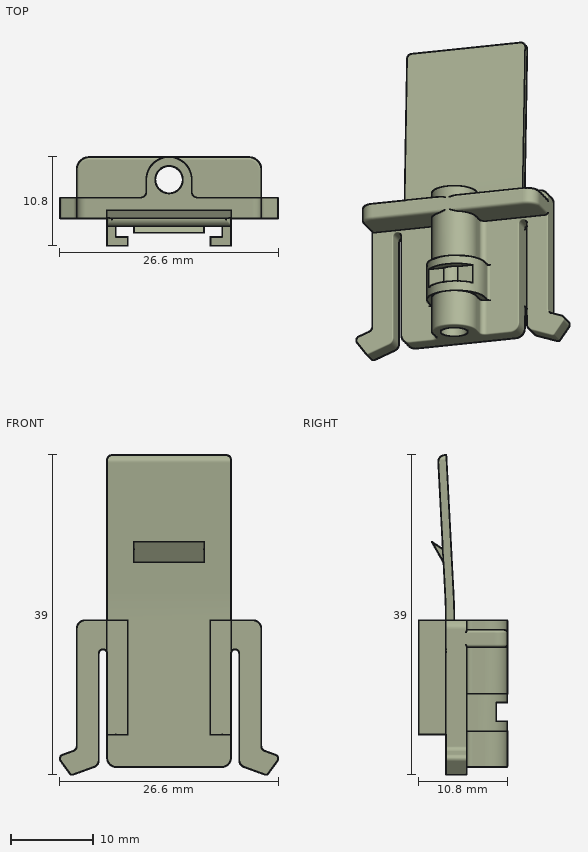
import cadquery as cq
import math

body_thickness = 2.57
body_top = 18.85
plate_half_width = 7.55
plate_bottom = 0.95
plate_corner = 1.15
edge_round = 0.15

arm_outer = 11.25
arm_inner = 8.55
arm_top_corner = 1.1
slot_top = 15.28
slot_round = (arm_inner - plate_half_width) / 2
hook_angle = math.radians(20)
elbow_outer_z = 3.08
elbow_inner_z = 1.15
elbow_outer_round = 0.6
elbow_inner_round = 0.95
hook_tip_x = 13.6
hook_heel_x = 11.93
hook_tip_round = 0.5
hook_heel_round = 0.3

back_y = 7.52
flange_bottom = 15.55
flange_top = 17.65
flange_corner = 1.55
flange_round = 0.35
barrel_radius = 2.75
barrel_root_round = 0.7
band_radius = 3.6
band_root_round = 0.3
band_bottom = 5.35
band_top = 9.85
notch_bottom = 6.55
notch_top = 8.8
notch_floor_y = 6.15
hole_diameter = 3.3

rail_bottom = 4.9
rail_height = 3.3
rail_wall = 1.1
rail_width = 2.55

tab_top = 38.98
tab_thickness = 1.05
tab_lean = math.radians(3)
tab_bend_top = 22.0
tab_front_round = 0.85
tab_corner = 0.62
tab_side_round = 0.15
barb_half_width = 4.3
barb_bottom = 25.9
barb_root_top = 27.52
barb_tip_z = 28.4
barb_tip_y = -1.7


def box(x_range, y_range, z_range):
    """Axis-aligned box between the given limits."""
    size = [high - low for low, high in (x_range, y_range, z_range)]
    corner = (x_range[0], y_range[0], z_range[0])
    return cq.Workplane("XY").box(*size, centered=False).translate(corner)


def rounded_profile(workplane, corners):
    """Closed outline through (u, v, radius) corners, each rounded by a tangent arc."""
    arcs = []
    for i, (u, v, radius) in enumerate(corners):
        corner = cq.Vector(u, v)
        to_previous = (cq.Vector(*corners[i - 1][:2]) - corner).normalized()
        to_next = (cq.Vector(*corners[(i + 1) % len(corners)][:2]) - corner).normalized()
        half_angle = to_previous.getAngle(to_next) / 2
        setback = radius / math.tan(half_angle)
        bisector = (to_previous + to_next).normalized()
        middle = corner + bisector * (radius / math.sin(half_angle) - radius)
        arcs.append((corner + to_previous * setback, middle, corner + to_next * setback))

    shortest_line = 3.9e-07
    profile = workplane.moveTo(*arcs[-1][2].toTuple()[:2])
    pen = arcs[-1][2]
    for start, middle, end in arcs:
        if (start - pen).Length > shortest_line:
            profile = profile.lineTo(start.x, start.y)
        if (end - start).Length > shortest_line:
            profile = profile.threePointArc((middle.x, middle.y), (end.x, end.y))
        pen = end
    return profile.close()


def make_body():
    slope = math.tan(hook_angle)
    hook_tip_z = elbow_outer_z - (hook_tip_x - arm_outer) * slope
    hook_heel_z = elbow_inner_z - (hook_heel_x - arm_inner) * slope
    right_half = [
        (plate_half_width, plate_bottom, plate_corner),
        (plate_half_width, slot_top, slot_round),
        (arm_inner, slot_top, slot_round),
        (arm_inner, elbow_inner_z, elbow_inner_round),
        (hook_heel_x, hook_heel_z, hook_heel_round),
        (hook_tip_x, hook_tip_z, hook_tip_round),
        (arm_outer, elbow_outer_z, elbow_outer_round),
        (arm_outer, body_top, arm_top_corner),
    ]
    left_half = [(-x, z, radius) for x, z, radius in reversed(right_half)]
    body = rounded_profile(cq.Workplane("XZ"), right_half + left_half).extrude(-body_thickness)
    return body.faces("<Y or >Y").edges().fillet(edge_round)


def make_flange():
    flange = box((-arm_outer, arm_outer), (body_thickness / 2, back_y), (flange_bottom, flange_top))
    flange = flange.edges("|Z and >Y").fillet(flange_corner)
    return flange.faces(">Z or <Z").edges("not <Y").fillet(flange_round)


def barrel_section(radius, root_round, bottom, top):
    """Upright half-round column that flares into the back of the plate through concave fillets."""
    centre_y = back_y - radius
    embedded_y = body_thickness / 2
    flank_y = body_thickness + root_round
    flare = radius + root_round
    inset = root_round * (1 - math.sqrt(0.5))
    return (
        cq.Workplane("XY", origin=(0, 0, bottom))
        .moveTo(-flare, embedded_y)
        .lineTo(-flare, body_thickness)
        .threePointArc((-radius - inset, body_thickness + inset), (-radius, flank_y))
        .lineTo(-radius, centre_y)
        .threePointArc((0, back_y), (radius, centre_y))
        .lineTo(radius, flank_y)
        .threePointArc((radius + inset, body_thickness + inset), (flare, body_thickness))
        .lineTo(flare, embedded_y)
        .close()
        .extrude(top - bottom)
    )


def make_barrel():
    barrel = barrel_section(barrel_radius, barrel_root_round, plate_bottom, body_top)
    outside_plate = cq.selectors.BoxSelector(
        (-arm_outer, body_thickness, 0), (arm_outer, 2 * back_y, tab_top)
    )
    barrel = barrel.faces("<Z or >Z").edges(outside_plate).fillet(edge_round)
    band = barrel_section(band_radius, band_root_round, band_bottom, band_top)
    return barrel.union(band)


def make_rail(side):
    """L-shaped rail with its lip turned toward the middle of the plate."""
    outer = side * plate_half_width
    wall = side * (plate_half_width - rail_wall)
    lip = side * (plate_half_width - rail_width)
    lip_back = rail_wall - rail_height
    section = [
        (outer, edge_round), (outer, -rail_height), (lip, -rail_height),
        (lip, lip_back), (wall, lip_back), (wall, edge_round),
    ]
    rail = cq.Workplane("XY", origin=(0, 0, rail_bottom)).polyline(section).close()
    return rail.extrude(body_top - rail_bottom)


def make_tab():
    """Strip that bends gently forward above the plate and then runs straight."""
    bend_radius = (tab_bend_top - body_top) / math.sin(tab_lean)

    def bend_point(angle, depth):
        radius = bend_radius + depth
        return (radius * math.cos(angle) - bend_radius, body_top + radius * math.sin(angle))

    def top_point(depth):
        y, z = bend_point(tab_lean, depth)
        return (y - (tab_top - z) * math.tan(tab_lean), tab_top)

    root_z = body_top - edge_round
    strip = (
        cq.Workplane("YZ", origin=(-plate_half_width, 0, 0))
        .moveTo(0, root_z)
        .lineTo(0, body_top)
        .threePointArc(bend_point(tab_lean / 2, 0), bend_point(tab_lean, 0))
        .lineTo(*top_point(0))
        .lineTo(*top_point(tab_thickness))
        .lineTo(*bend_point(tab_lean, tab_thickness))
        .threePointArc(bend_point(tab_lean / 2, tab_thickness), (tab_thickness, body_top))
        .lineTo(tab_thickness, root_z)
        .close()
        .extrude(2 * plate_half_width)
    )
    ends = box((-plate_half_width, plate_half_width), (-rail_height, back_y), (root_z, tab_top))
    strip = strip.edges("|X and >Z and <Y").fillet(tab_front_round)
    strip = strip.intersect(ends.edges("|Y and >Z").fillet(tab_corner))

    front_edges = cq.selectors.BoxSelector(
        (-arm_outer, -rail_height, body_top), (arm_outer, edge_round, tab_top - tab_front_round)
    )
    return strip.faces("<X or >X").edges(front_edges).fillet(tab_side_round)


def make_barb():
    """Wedge on the front of the tab, pointing up and forward."""
    middle_of_bend = (body_top + tab_bend_top) / 2

    def tab_front(z):
        return (middle_of_bend - z) * math.tan(tab_lean)

    root_y = tab_front(barb_root_top) + tab_thickness / 2
    section = [
        (tab_front(barb_bottom), barb_bottom), (barb_tip_y, barb_tip_z),
        (tab_front(barb_root_top), barb_root_top), (root_y, barb_root_top), (root_y, barb_bottom),
    ]
    barb = cq.Workplane("YZ", origin=(-barb_half_width, 0, 0)).polyline(section).close()
    return barb.extrude(2 * barb_half_width)


hole = cq.Workplane("XY", origin=(0, back_y - barrel_radius, 0)).circle(hole_diameter / 2).extrude(body_top)
notch = box((-band_radius, band_radius), (notch_floor_y, back_y), (notch_bottom, notch_top))

result = make_body().union(make_flange()).union(make_barrel()).cut(hole).cut(notch)
for side in (1, -1):
    result = result.union(make_rail(side))
result = result.union(make_tab()).union(make_barb())